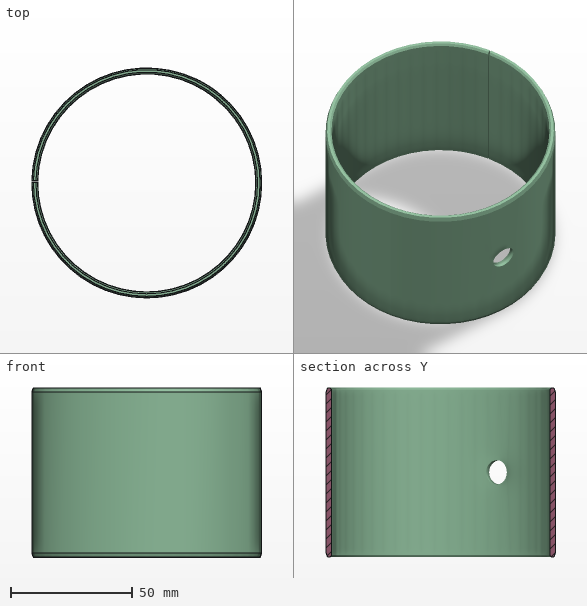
import cadquery as cq
import math

outer_diameter = 95.0
wall = 2.5
length = 70.0

outer_chamfer_height = 1.8
outer_chamfer_depth = 0.7
inner_chamfer = 0.8

gap_width = 0.7
gap_start_y = 0.2

hole_diameter = 10.0
hole_angle = 58.9

outer_radius = outer_diameter / 2
inner_radius = outer_radius - wall
half_length = length / 2


def chamfered_ring():
    """Revolve the wall section, with its four end corners bevelled."""
    outer_shoulder = half_length - outer_chamfer_height
    inner_shoulder = half_length - inner_chamfer
    outer_end_radius = outer_radius - outer_chamfer_depth
    inner_end_radius = inner_radius + inner_chamfer
    section = [
        (inner_radius, -inner_shoulder),
        (inner_end_radius, -half_length),
        (outer_end_radius, -half_length),
        (outer_radius, -outer_shoulder),
        (outer_radius, outer_shoulder),
        (outer_end_radius, half_length),
        (inner_end_radius, half_length),
        (inner_radius, inner_shoulder),
    ]
    return cq.Workplane("XZ").polyline(section).close().revolve(360, (0, 0), (0, 1))


def joint_gap():
    """Block that splits the -X side of the wall over its full length."""
    block = cq.Workplane("XY").box(outer_radius, gap_width, length, centered=(False, False, True))
    return block.translate((-outer_radius, gap_start_y, 0))


def oil_hole():
    """Radial cylinder that crosses one side of the wall."""
    angle = math.radians(hole_angle)
    direction = cq.Vector(math.cos(angle), math.sin(angle), 0)
    cylinder = cq.Solid.makeCylinder(hole_diameter / 2, outer_radius, cq.Vector(0, 0, 0), direction)
    return cq.Workplane(obj=cylinder)


result = chamfered_ring().cut(joint_gap()).cut(oil_hole())